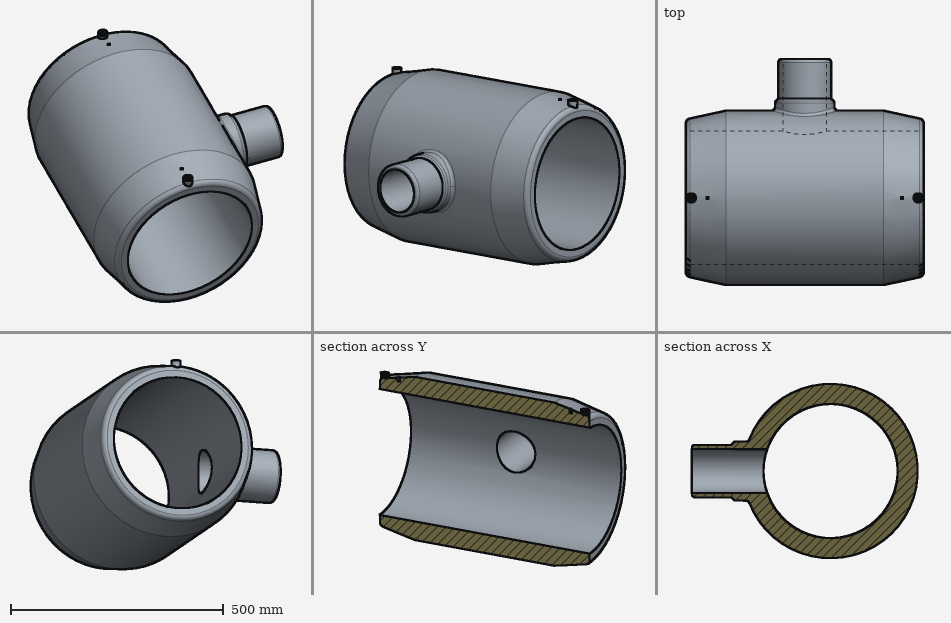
import cadquery as cq

sleeve_length = 560.0
sleeve_diameter = 411.0
bore_diameter = 315.0
taper_length = 95.0
end_radius = 184.7
rim_fillet = 13.0

branch_reach = 326.5
branch_diameter = 125.0
branch_bore_diameter = 102.2
branch_tip_fillet = 8.0
collar_diameter = 140.0
collar_top = 233.4
collar_fillet = 8.0
saddle_fillet = 8.0
seam_margin = 1.0

terminal_diameter = 21.5
terminal_socket_diameter = 11.5
terminal_pin_diameter = 4.0
terminal_top = 199.5
terminal_pin_recess = 4.0
terminal_base = 172.0
terminal_inset = 13.4
terminal_socket_depth = 12.0

indicator_diameter = 5.0
indicator_inset = 51.5
indicator_depth = 10.0

half_length = sleeve_length / 2
sleeve_radius = sleeve_diameter / 2
bore_radius = bore_diameter / 2
end_signs = (-1, 1)


def taper_radius_at(inset):
    """Radius of the tapered surface at a distance from the sleeve end."""
    slope = (sleeve_radius - end_radius) / taper_length
    return end_radius + slope * inset


def make_sleeve():
    """Solid of revolution with tapered ends and rounded rims, not yet bored."""
    taper_x = half_length - taper_length
    blank = (
        cq.Workplane("XY")
        .moveTo(-half_length, 0)
        .lineTo(-half_length, end_radius)
        .lineTo(-taper_x, sleeve_radius)
        .lineTo(taper_x, sleeve_radius)
        .lineTo(half_length, end_radius)
        .lineTo(half_length, 0)
        .close()
        .revolve(360, (0, 0, 0), (1, 0, 0))
    )
    return blank.faces("<X or >X").edges().fillet(rim_fillet)


def cylinder_along_y(diameter, length):
    """Cylinder from the sleeve axis outwards along +Y."""
    return cq.Workplane("XZ").circle(diameter / 2).extrude(-length)


def make_branch():
    """Spigot with rounded tip standing on a bevelled, rounded collar."""
    collar_step = (collar_diameter - branch_diameter) / 2
    spigot = cylinder_along_y(branch_diameter, branch_reach)
    spigot = spigot.faces(">Y").edges().fillet(branch_tip_fillet)
    collar = cylinder_along_y(collar_diameter, collar_top).faces(">Y").chamfer(collar_step)
    collar = collar.faces(">>Y[-2]").edges("<Y").fillet(collar_fillet)
    return spigot.union(collar)


def vertical_cylinder(x, diameter, bottom, top):
    """Cylinder centred above the sleeve axis at x, between two heights."""
    return cq.Workplane("XY", origin=(x, 0, bottom)).circle(diameter / 2).extrude(top - bottom)


def add_terminal(body, x):
    """Socketed terminal with a contact pin at its centre."""
    socket_bottom = terminal_top - terminal_socket_depth
    body = body.union(vertical_cylinder(x, terminal_diameter, terminal_base, terminal_top))
    body = body.cut(vertical_cylinder(x, terminal_socket_diameter, socket_bottom, terminal_top))
    pin_top = terminal_top - terminal_pin_recess
    return body.union(vertical_cylinder(x, terminal_pin_diameter, terminal_base, pin_top))


def cut_indicator(body, x):
    """Shallow vertical hole in the taper."""
    surface = taper_radius_at(indicator_inset)
    return body.cut(vertical_cylinder(x, indicator_diameter, surface - indicator_depth, sleeve_radius))


def blend_branch(body):
    """Fillet the seam where the collar meets the sleeve."""
    half_width = collar_diameter / 2 + seam_margin
    seam_box = cq.selectors.BoxSelector(
        (-half_width, bore_radius, -half_width),
        (half_width, sleeve_radius + seam_margin, half_width),
        boundingbox=True,
    )
    return body.edges(seam_box).fillet(saddle_fillet)


def cut_bores(body):
    """Bore the sleeve right through and open the branch into it."""
    main_bore = cq.Workplane("YZ").circle(bore_radius).extrude(half_length, both=True)
    return body.cut(main_bore).cut(cylinder_along_y(branch_bore_diameter, branch_reach))


result = blend_branch(make_sleeve().union(make_branch()))
for sign in end_signs:
    result = add_terminal(result, sign * (half_length - terminal_inset))
    result = cut_indicator(result, sign * (half_length - indicator_inset))
result = cut_bores(result)